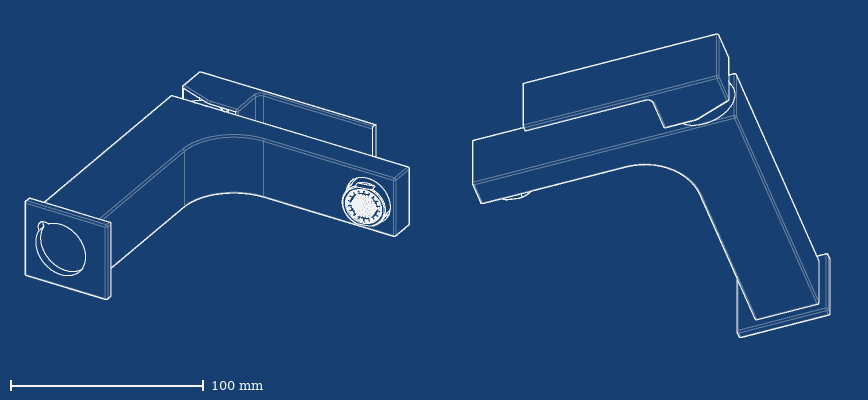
import cadquery as cq
import math


edge_round = 1.0
total_height = 169.3

plate_left = -22.0
plate_length = 50.0
plate_width = 44.9
plate_thickness = 4.9
plate_hole_radius = 15.0
notch_radius = 4.0
notch_distance = 13.5
notch_angle = math.radians(135)

total_length = 149.0
column_side = 35.0
column_half = column_side / 2
body_top = 140.7
spout_thickness = 15.2
spout_end = plate_left + total_length
spout_underside = body_top - spout_thickness
inside_corner_radius = 30.0

dome_radius = 17.1
dome_centre_drop = 1.0
dome_height = 9.8
stem_side = 9.1
stem_top = 161.3

block_right = 20.5
block_left_bottom = 151.5
block_bottom = 144.2
slope_angle = math.radians(20)
slope_round = 7.3
blade_end = 89.2
blade_thickness = 3.9
blade_corner_radius = 3.0
lever_wall = 1.2
lever_roof = 2.4

aerator_tilt = math.radians(10)
aerator_end_x = 111.9
aerator_end_y = 118.7
aerator_radius = 12.0
aerator_length = 11.9
aerator_chamfer = 0.5
aerator_bore_radius = 10.0
flat_half_distance = 11.0
flat_height = 4.0
recess_radius = 13.2

insert_radius = 9.5
insert_setback = 0.5
insert_length = 0.8
hole_pitch = 1.7
hole_width = 1.0
holes_from_centre = 4
slot_count = 18
slot_inner_radius = 8.1
slot_length = 1.0
slot_width = 1.4

aerator_plane = cq.Plane(
    origin=(aerator_end_x, aerator_end_y, 0),
    xDir=(math.cos(aerator_tilt), math.sin(aerator_tilt), 0),
    normal=(-math.sin(aerator_tilt), math.cos(aerator_tilt), 0),
)


def upright_plane(height):
    """Horizontal section of the tap at a given height, with its normal along +Y."""
    return cq.Plane(origin=(0, height, 0), xDir=(1, 0, 0), normal=(0, 1, 0))


def aerator_cylinder(radius, start, length):
    """Cylinder on the aerator's axis, starting a given distance in from its open end."""
    return cq.Workplane(aerator_plane).workplane(offset=start).circle(radius).extrude(length)


def make_plate_opening():
    """Round opening with a lobe towards -X and +Z."""
    section = cq.Workplane(upright_plane(0))
    lobe_x = notch_distance * math.cos(notch_angle)
    lobe_y = -notch_distance * math.sin(notch_angle)
    round_part = section.circle(plate_hole_radius).extrude(plate_thickness)
    lobe = section.center(lobe_x, lobe_y).circle(notch_radius).extrude(plate_thickness)
    return round_part.union(lobe)


def make_base_plate():
    plate = (
        cq.Workplane("XY")
        .box(plate_length, plate_thickness, plate_width, centered=(False, False, True))
        .translate((plate_left, 0, 0))
        .edges()
        .fillet(edge_round)
    )
    return plate.cut(make_plate_opening())


def make_body():
    body = (
        cq.Workplane("XY")
        .moveTo(-column_half, plate_thickness)
        .lineTo(column_half, plate_thickness)
        .lineTo(column_half, spout_underside - inside_corner_radius)
        .radiusArc((column_half + inside_corner_radius, spout_underside), inside_corner_radius)
        .lineTo(spout_end, spout_underside)
        .lineTo(spout_end, body_top)
        .lineTo(-column_half, body_top)
        .close()
        .extrude(column_half, both=True)
    )
    body = body.faces("<X or >X or <Y or >Y or <Z or >Z").edges().fillet(edge_round)
    return body.cut(aerator_cylinder(recess_radius, aerator_length, -2 * aerator_length))


def make_stem():
    return (
        cq.Workplane(upright_plane(body_top))
        .rect(stem_side, stem_side)
        .extrude(stem_top - body_top)
    )


def make_dome():
    """Flat-topped zone of a sphere with a square hole for the stem."""
    centre_height = body_top - dome_centre_drop
    dome_top = body_top + dome_height
    base_radius = math.sqrt(dome_radius**2 - dome_centre_drop**2)
    top_radius = math.sqrt(dome_radius**2 - (dome_top - centre_height) ** 2)
    dome = (
        cq.Workplane("ZY")
        .moveTo(0, body_top)
        .lineTo(base_radius, body_top)
        .radiusArc((top_radius, dome_top), -dome_radius)
        .lineTo(0, dome_top)
        .close()
        .revolve(360, (0, 0, 0), (0, 1, 0))
    )
    return dome.cut(make_stem())


def make_lever():
    slope_end = -column_half + (block_left_bottom - block_bottom) / math.tan(slope_angle)
    blade_underside = total_height - blade_thickness
    lever = (
        cq.Workplane("XY")
        .moveTo(-column_half, total_height)
        .lineTo(-column_half, block_left_bottom)
        .lineTo(slope_end, block_bottom)
        .lineTo(block_right, block_bottom)
        .lineTo(block_right, blade_underside)
        .lineTo(blade_end, blade_underside)
        .lineTo(blade_end, total_height)
        .close()
        .extrude(column_half, both=True)
    )
    lever = lever.edges(cq.NearestToPointSelector((slope_end, block_bottom, 0))).fillet(slope_round)
    inner_corner = cq.NearestToPointSelector((block_right, blade_underside, 0))
    lever = lever.edges(inner_corner).fillet(blade_corner_radius)

    rounded_edges = lever.faces("<X or <Y or >Y or <Z or >Z").edges().vals()
    end_edges = lever.faces(">X").edges().vals()
    rounded_edges = [e for e in rounded_edges if not any(e.isSame(end) for end in end_edges)]
    lever = lever.newObject(rounded_edges).fillet(edge_round)

    cavity_left = -column_half + lever_wall
    cavity_right = block_right - lever_wall
    cavity_top = total_height - lever_roof
    cavity = (
        cq.Workplane("XY")
        .moveTo(cavity_left, cavity_top)
        .lineTo(cavity_left, body_top)
        .lineTo(cavity_right, body_top)
        .lineTo(cavity_right, cavity_top)
        .close()
        .extrude(column_half - lever_wall, both=True)
    )
    return lever.cut(cavity)


def make_aerator_shell():
    shell = aerator_cylinder(aerator_radius, 0, aerator_length)
    shell = shell.faces("<Y").edges().chamfer(aerator_chamfer)
    for side in (-1, 1):
        flat = (
            cq.Workplane(aerator_plane)
            .center(0, side * (flat_half_distance + aerator_radius / 2))
            .rect(2 * aerator_radius, aerator_radius)
            .extrude(flat_height)
        )
        shell = shell.cut(flat)
    return shell.cut(aerator_cylinder(aerator_bore_radius, 0, insert_setback + insert_length))


def honeycomb_points():
    """Hole centres of a hexagonal honeycomb with rows along the local x direction."""
    row_spacing = hole_pitch * math.sqrt(3) / 2
    points = []
    for row in range(-holes_from_centre, holes_from_centre + 1):
        row_count = 2 * holes_from_centre + 1 - abs(row)
        for index in range(row_count):
            points.append(((index - (row_count - 1) / 2) * hole_pitch, row * row_spacing))
    return points


def make_insert():
    insert = aerator_cylinder(insert_radius, insert_setback, insert_length)
    holes = (
        cq.Workplane(aerator_plane)
        .pushPoints(honeycomb_points())
        .polygon(6, hole_width / math.cos(math.pi / 6))
        .extrude(insert_setback + insert_length)
    )
    slots = (
        cq.Workplane(aerator_plane)
        .polarArray(slot_inner_radius + slot_length / 2, 0, 360, slot_count)
        .rect(slot_length, slot_width)
        .extrude(insert_setback + insert_length)
    )
    return insert.cut(holes).cut(slots)


base_plate = make_base_plate()
body = make_body()
dome = make_dome()
stem = make_stem()
lever = make_lever()
aerator_shell = make_aerator_shell()
insert = make_insert()

result = cq.Compound.makeCompound(
    [
        base_plate.val(),
        body.val(),
        dome.val(),
        stem.val(),
        lever.val(),
        aerator_shell.val(),
        insert.val(),
    ]
)